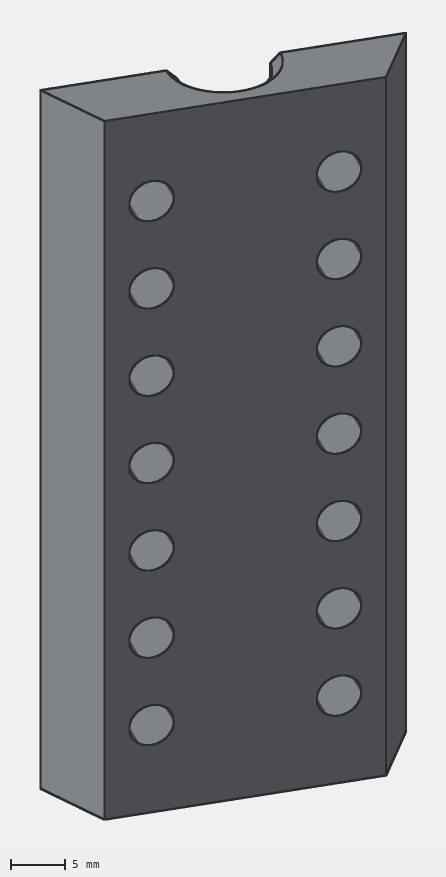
import cadquery as cq
import math

thickness = 7.0
front_width = 35.1
length = 75.0
side_angle = 30.0
back_width = front_width - 2 * thickness * math.tan(math.radians(side_angle))

channel_radius = 4.5
channel_chamfer = 1.0

hole_diameter = 4.3
hole_pitch = 9.4
holes_per_row = 7
row_spacing = 18.0


def make_bar():
    """Bar standing along Z, wide face on X = 0, narrow face on X = thickness."""
    outline = [
        (0, -front_width / 2),
        (thickness, -back_width / 2),
        (thickness, back_width / 2),
        (0, front_width / 2),
    ]
    return cq.Workplane("XY").polyline(outline).close().extrude(length)


def make_channel_cutter():
    """Revolved cutter on the Z axis, flared at both ends."""
    mouth_radius = channel_radius + channel_chamfer
    half_profile = [
        (0, 0),
        (mouth_radius, 0),
        (channel_radius, channel_chamfer),
        (channel_radius, length - channel_chamfer),
        (mouth_radius, length),
        (0, length),
    ]
    return cq.Workplane("XZ").polyline(half_profile).close().revolve(360, (0, 0), (0, 1))


def make_hole_cutters():
    """Cylinders along X, centred on the wide face."""
    return (
        cq.Workplane("YZ", origin=(0, 0, length / 2))
        .rarray(row_spacing, hole_pitch, 2, holes_per_row)
        .circle(hole_diameter / 2)
        .extrude(thickness)
    )


result = make_bar().cut(make_channel_cutter()).cut(make_hole_cutters())